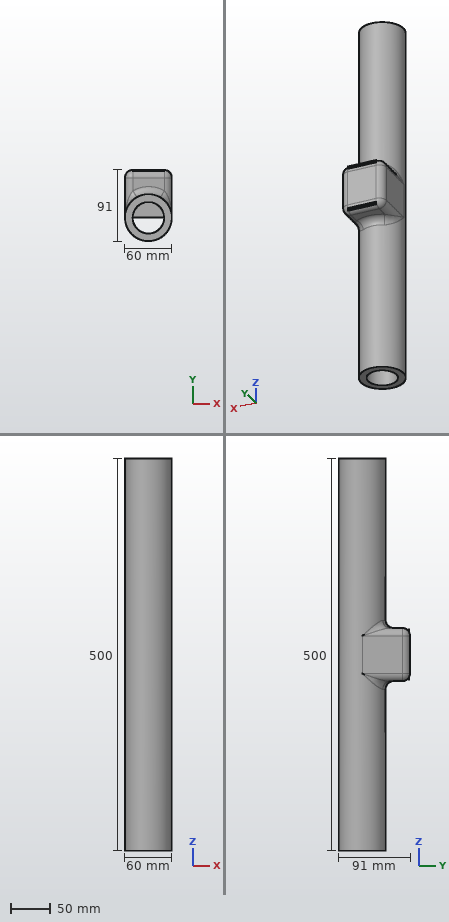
import cadquery as cq

tube_diameter = 60.0
wall_thickness = 10.0
tube_length = 500.0

block_width = tube_diameter
block_reach = 61.0
block_height = 68.0
block_edge_radius = 10.0

plate_width = block_width - 2 * block_edge_radius
plate_height = 64.0
plate_thickness = 1.0
plate_setback = 1.0

root_radius = 10.0


def make_tube():
    bore_diameter = tube_diameter - 2 * wall_thickness
    return (
        cq.Workplane("XY", origin=(0, 0, -tube_length / 2))
        .circle(tube_diameter / 2)
        .circle(bore_diameter / 2)
        .extrude(tube_length)
    )


def make_block():
    """Rounded block; its flat inner face lies on the tube axis and half closes the bore."""
    block = cq.Workplane("XY").box(
        block_width, block_reach, block_height, centered=(True, False, True)
    )
    return block.edges("|Y or >Y").fillet(block_edge_radius)


def blend_root(body):
    """Fillet the corner between the outside of the tube and the block.

    On each side of the block, the fillet starts from the arc at the middle of the corner
    and follows the tangent edges until it runs out on the flanks of the tube.
    """
    top_arc = cq.selectors.NearestToPointSelector((0, tube_diameter / 2, block_height / 2))
    bottom_arc = cq.selectors.NearestToPointSelector((0, tube_diameter / 2, -block_height / 2))
    return body.edges(top_arc + bottom_arc).fillet(root_radius)


def make_plate():
    plate_start = block_reach - plate_setback - plate_thickness
    return cq.Workplane("XY", origin=(0, plate_start, 0)).box(
        plate_width, plate_thickness, plate_height, centered=(True, False, True)
    )


body = blend_root(make_tube().union(make_block()))
result = body.union(make_plate())